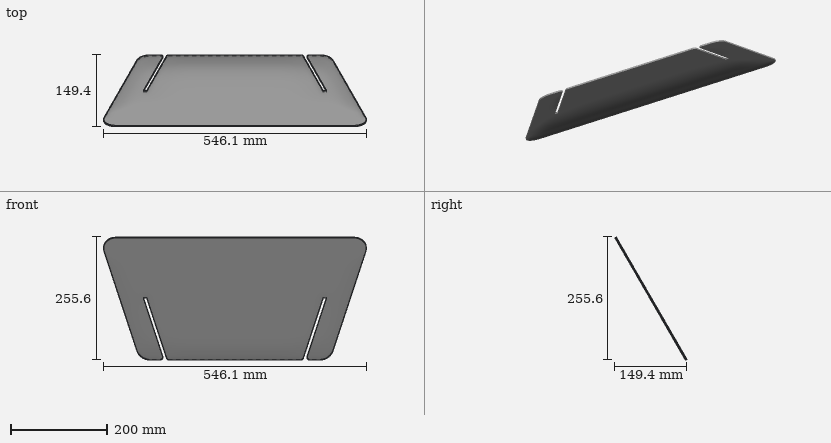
import cadquery as cq
import math

OVERALL_WIDTH = 546.13
PLATE_LENGTH = 293.3
THICKNESS = 3.175
LEAN_ANGLE = 30.0
SIDE_ANGLE = 15.96
TOP_CORNER_RADIUS = 25.4
BOTTOM_CORNER_RADIUS = 30.5

SLOT_WIDTH = 6.75
SLOT_DEPTH = 148.9
SLOT_MOUTH_INNER = 140.8
MOUTH_RADIUS = 6.35

PICK_MARGIN = 0.5

side_slope = math.tan(math.radians(SIDE_ANGLE))
corner_tangent = TOP_CORNER_RADIUS * math.tan(math.radians((90 + SIDE_ANGLE) / 2))
top_half_width = OVERALL_WIDTH / 2 - TOP_CORNER_RADIUS + corner_tangent
bottom_half_width = top_half_width - PLATE_LENGTH * side_slope
slot_span = SLOT_WIDTH / math.cos(math.radians(SIDE_ANGLE))
slot_mouth_outer = SLOT_MOUTH_INNER + slot_span
slot_shift = SLOT_DEPTH * side_slope


def corner_at(u, v):
    """Selector for the through-thickness edges at (u, v) and at (-u, v)."""
    right, left = [
        cq.selectors.BoxSelector(
            (center - PICK_MARGIN, v - PICK_MARGIN, 0),
            (center + PICK_MARGIN, v + PICK_MARGIN, THICKNESS),
        )
        for center in (u, -u)
    ]
    return right + left


def trapezoid_plate():
    return (
        cq.Workplane("XY")
        .moveTo(-bottom_half_width, 0)
        .lineTo(bottom_half_width, 0)
        .lineTo(top_half_width, PLATE_LENGTH)
        .lineTo(-top_half_width, PLATE_LENGTH)
        .close()
        .extrude(THICKNESS)
    )


def slot_cutter(side):
    """Slanted slot; side is +1 for the +X slot and -1 for the -X slot."""
    return (
        cq.Workplane("XY")
        .moveTo(side * SLOT_MOUTH_INNER, 0)
        .lineTo(side * slot_mouth_outer, 0)
        .lineTo(side * (slot_mouth_outer + slot_shift), SLOT_DEPTH)
        .lineTo(side * (SLOT_MOUTH_INNER + slot_shift), SLOT_DEPTH)
        .close()
        .extrude(THICKNESS)
    )


plate = trapezoid_plate()
for side in (1, -1):
    plate = plate.cut(slot_cutter(side))

plate = plate.edges(corner_at(top_half_width, PLATE_LENGTH)).fillet(TOP_CORNER_RADIUS)
plate = plate.edges(corner_at(bottom_half_width, 0)).fillet(BOTTOM_CORNER_RADIUS)
for mouth_corner in (SLOT_MOUTH_INNER, slot_mouth_outer):
    plate = plate.edges(corner_at(mouth_corner, 0)).fillet(MOUTH_RADIUS)

standing_angle = 90 + LEAN_ANGLE
result = plate.rotate((0, 0, 0), (1, 0, 0), standing_angle)